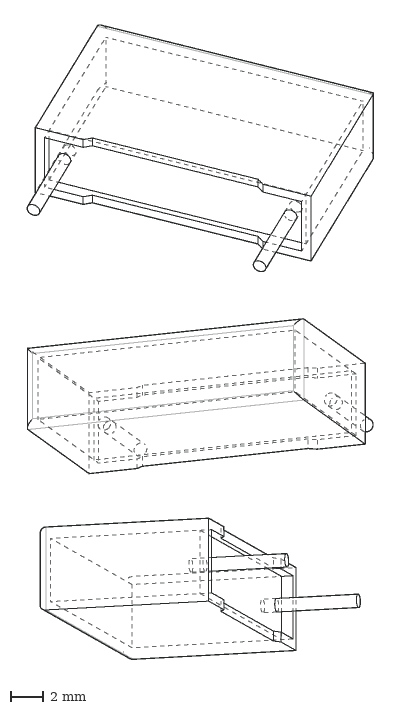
import cadquery as cq

width = 18.3
height = 5.22
total_depth = 15.6
lead_length = 4.54
case_depth = total_depth - lead_length

wall = 0.62
back_round = 0.51
back_wall = wall
filler_recess = 0.75

relief_depth = 0.35
relief_rim_width = 11.93
relief_floor_width = 10.98

lead_diameter = 0.85
lead_pitch = 15.0
lead_embedding = 0.92

cavity_width = width - 2 * wall
cavity_height = height - 2 * wall
filler_depth = case_depth - back_wall - filler_recess


def box_along_y(x_size, y_size, z_size, y_start):
    """Box centred on X and Z that runs from y_start towards +Y."""
    return (
        cq.Workplane("XY")
        .box(x_size, y_size, z_size, centered=(True, False, True))
        .translate((0, y_start, 0))
    )


def make_rim_relief():
    """Trapezoid that lowers the rim of both long walls."""
    return (
        cq.Workplane("XY")
        .moveTo(-relief_rim_width / 2, 0)
        .lineTo(-relief_floor_width / 2, relief_depth)
        .lineTo(relief_floor_width / 2, relief_depth)
        .lineTo(relief_rim_width / 2, 0)
        .close()
        .extrude(height / 2, both=True)
    )


def make_case():
    """Box open at Y = 0, with rounded edges around its closed back."""
    block = box_along_y(width, case_depth, height, 0)
    block = block.faces(">Y").edges().fillet(back_round)
    cavity = box_along_y(cavity_width, case_depth - back_wall, cavity_height, 0)
    return block.cut(cavity).cut(make_rim_relief())


def make_lead(x_position):
    """Round lead along Y, from its free tip to its end inside the filler."""
    return (
        cq.Workplane("XZ", origin=(x_position, -lead_length, 0))
        .circle(lead_diameter / 2)
        .extrude(-(lead_length + filler_recess + lead_embedding))
    )


def make_filler(leads):
    """Filler block in the case cavity, with a hole for each lead."""
    filler = box_along_y(cavity_width, filler_depth, cavity_height, filler_recess)
    for lead in leads:
        filler = filler.cut(lead)
    return filler


case = make_case()
leads = [make_lead(side * lead_pitch / 2) for side in (-1, 1)]
filler = make_filler(leads)

result = cq.Compound.makeCompound([case.val(), filler.val(), *[lead.val() for lead in leads]])